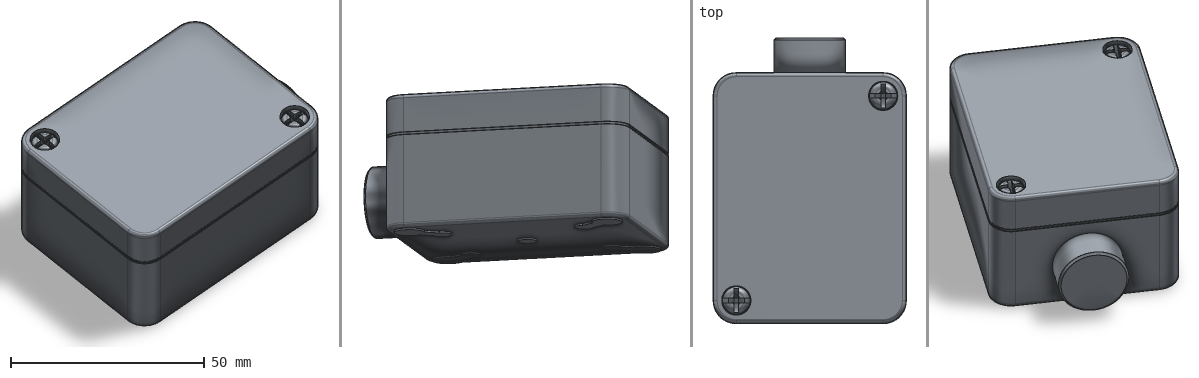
import cadquery as cq

width = 50.0
overall_length = 74
overall_height = 35.5
spout_length = 9.0
foot_height = 0.45
length = overall_length - spout_length
height = overall_height - foot_height
corner_radius = 6.0
edge_fillet = 1.0

lid_skirt_height = 10.1
groove_height = 0.7
groove_depth = 0.3
lid_bottom = height - lid_skirt_height
base_height = lid_bottom - groove_height

spout_diameter = 18.6
spout_center_z = 11.9
spout_chamfer = 0.6

corner_foot_diameter = 8.0
small_foot_diameter = 5.0
foot_bar_width = 3.9
small_foot_from_side = 10.9
small_foot_from_end = 13.5

screw_x = width / 2 - corner_radius
screw_y = length / 2 - corner_radius
screw_positions = [(screw_x, screw_y), (-screw_x, -screw_y)]
screw_recess_diameter = 7.55
screw_recess_depth = 4.0
screw_head_diameter = 7.2
screw_flat_diameter = 4.1
screw_head_sink = 0.4
head_height = screw_recess_depth - screw_head_sink
head_rounding = (screw_head_diameter - screw_flat_diameter) / 2

slot_width = 1.2
slot_depth = 1.4
cross_depth = 2.75
cross_slot_reach = 2.1
cross_slope = (cross_slot_reach - slot_width / 2) / (cross_depth - slot_depth)
cross_top_reach = slot_width / 2 + cross_slope * cross_depth

corner_flat_leg = 0.45
flats_reach = slot_width + corner_flat_leg
flats_depth = cross_depth - (flats_reach - slot_width / 2) / cross_slope


def rounded_block(block_width, block_length, block_height, radius, bottom):
    """Upright block with rounded vertical corners, standing at the height bottom."""
    return (
        cq.Workplane("XY", origin=(0, 0, bottom))
        .rect(block_width, block_length)
        .extrude(block_height)
        .edges("|Z")
        .fillet(radius)
    )


def make_spout():
    """Chamfered round spout that stands out from the +Y wall."""
    return (
        cq.Workplane("XZ", origin=(0, length / 2, spout_center_z))
        .circle(spout_diameter / 2)
        .extrude(-spout_length)
        .faces(">Y")
        .chamfer(spout_chamfer)
    )


def foot_disc(x, y, diameter):
    return cq.Workplane("XY", origin=(x, y, -foot_height)).circle(diameter / 2).extrude(foot_height)


def make_corner_foot():
    """Foot in the (+X, +Y) corner: a large and a small disc joined by a straight bar."""
    small_x = width / 2 - small_foot_from_side
    small_y = length / 2 - small_foot_from_end
    span = cq.Vector(screw_x - small_x, screw_y - small_y, 0)
    bar_plane = cq.Plane(origin=(small_x, small_y, -foot_height), xDir=span, normal=(0, 0, 1))
    bar = (
        cq.Workplane(bar_plane)
        .rect(span.Length, foot_bar_width, centered=(False, True))
        .extrude(foot_height)
    )
    return (
        foot_disc(screw_x, screw_y, corner_foot_diameter)
        .union(foot_disc(small_x, small_y, small_foot_diameter))
        .union(bar)
    )


def make_base():
    base = rounded_block(width, length, base_height, corner_radius, 0).faces("<Z").edges().fillet(edge_fillet)
    base = base.union(make_spout()).union(foot_disc(0, 0, small_foot_diameter))
    corner_foot = make_corner_foot()
    end_feet = corner_foot.union(corner_foot.mirror("YZ"))
    return base.union(end_feet).union(end_feet.mirror("XZ"))


def make_lid():
    """Lid with a set-back rim underneath, which forms the groove above the base."""
    skirt = (
        rounded_block(width, length, lid_skirt_height, corner_radius, lid_bottom)
        .faces(">Z")
        .edges()
        .fillet(edge_fillet)
    )
    rim = rounded_block(
        width - 2 * groove_depth,
        length - 2 * groove_depth,
        groove_height,
        corner_radius - groove_depth,
        base_height,
    )
    recesses = (
        cq.Workplane("XY", origin=(0, 0, height))
        .pushPoints(screw_positions)
        .circle(screw_recess_diameter / 2)
        .extrude(-screw_recess_depth)
    )
    return skirt.union(rim).cut(recesses)


def cross_wing(plane_name):
    """Tapered wing of the cross, as wide as the slot, cut down from the top of the head."""
    return (
        cq.Workplane(plane_name)
        .moveTo(-cross_top_reach, head_height)
        .lineTo(-slot_width / 2, head_height - cross_depth)
        .lineTo(slot_width / 2, head_height - cross_depth)
        .lineTo(cross_top_reach, head_height)
        .close()
        .extrude(slot_width / 2, both=True)
    )


def make_screw(x, y):
    """Screw head with a rounded rim, standing on the floor of its recess."""
    head = (
        cq.Workplane("XY")
        .circle(screw_head_diameter / 2)
        .extrude(head_height)
        .faces(">Z")
        .edges()
        .fillet(head_rounding)
    )
    slot = (
        cq.Workplane("XY", origin=(0, 0, head_height))
        .rect(screw_head_diameter, slot_width)
        .extrude(-slot_depth)
    )
    corner_flats = (
        cq.Workplane("XY", origin=(0, 0, head_height))
        .polygon(4, 2 * flats_reach)
        .extrude(-flats_depth)
    )
    head = head.cut(slot).cut(corner_flats).cut(cross_wing("XZ")).cut(cross_wing("YZ"))
    return head.translate((x, y, height - screw_recess_depth))


base = make_base()
lid = make_lid()
screws = [make_screw(x, y) for x, y in screw_positions]

result = cq.Compound.makeCompound([base.val(), lid.val(), *[screw.val() for screw in screws]])